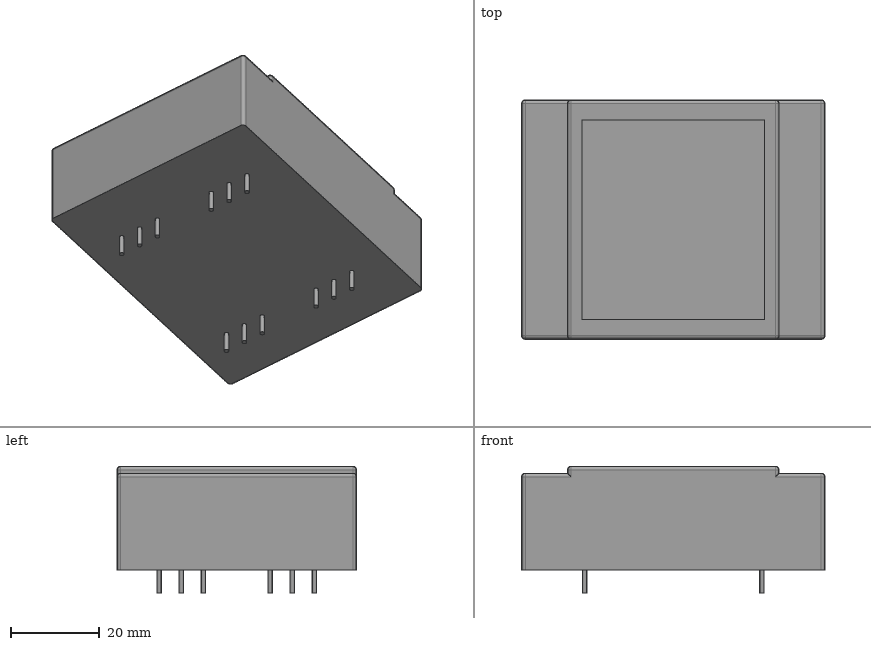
import cadquery as cq

length = 68.4
width = 54.0
overall_height = 28.6
pin_length = 5.2
body_height = overall_height - pin_length

band_length = 47.7
band_rise = 1.6
shoulder_height = body_height - band_rise
edge_radius = 0.8

label_length = 41.1
label_width = 45.0
label_depth = 0.1

pin_diameter = 1.0
pin_row_spacing = 40.0
pin_offsets = (7.5, 12.5, 17.5)


def make_body():
    """Stepped block with every outer edge rounded except those of the underside."""
    profile = (
        cq.Workplane("XZ")
        .moveTo(-length / 2, 0)
        .lineTo(length / 2, 0)
        .lineTo(length / 2, shoulder_height)
        .lineTo(band_length / 2, shoulder_height)
        .lineTo(band_length / 2, body_height)
        .lineTo(-band_length / 2, body_height)
        .lineTo(-band_length / 2, shoulder_height)
        .lineTo(-length / 2, shoulder_height)
        .close()
    )
    block = profile.extrude(width / 2, both=True)

    corner_probe = 0.1
    inner_corners = cq.selectors.BoxSelector(
        (-band_length / 2 - corner_probe, -corner_probe, shoulder_height - corner_probe),
        (band_length / 2 + corner_probe, corner_probe, shoulder_height + corner_probe),
    )
    underside = cq.selectors.StringSyntaxSelector("<Z")
    return block.edges(cq.selectors.SubtractSelector(
        cq.selectors.InverseSelector(underside), inner_corners
    )).fillet(edge_radius)


def make_label_recess():
    return (
        cq.Workplane("XY")
        .workplane(offset=body_height - label_depth)
        .rect(label_length, label_width)
        .extrude(label_depth)
    )


def make_pins():
    positions = [
        (x_side * pin_row_spacing / 2, y_side * offset)
        for x_side in (-1, 1)
        for y_side in (-1, 1)
        for offset in pin_offsets
    ]
    return cq.Workplane("XY").pushPoints(positions).circle(pin_diameter / 2).extrude(-pin_length)


result = make_body().cut(make_label_recess()).union(make_pins())